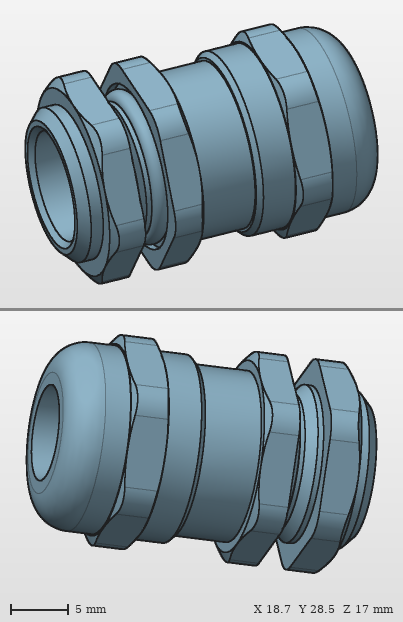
import cadquery as cq
import math

length = 28.5
across_flats = 17.0
across_corners = 18.7

thread_diameter = 14.0
groove_diameter = 12.2
thread_lead_in = 0.95
thread_end = 5.65
groove_start = 6.55
bore_mouth_diameter = 11.03
bore_diameter = 10.0
bore_depth = 5.53

ring_start = 7.05
ring_section_radius = 0.83
ring_recess_diameter = 15.0
ring_recess_floor = ring_start + 2 * ring_section_radius

body_diameter = 15.2
body_end = 16.22
cap_diameter = 16.7
cap_lead_in = 0.48
dome_radius = 3.0
cable_opening_diameter = 8.5
cable_opening_depth = dome_radius

lock_nut_start, lock_nut_end = 2.08, 5.13
body_hex_start, body_hex_end = 7.98, 11.0
cap_hex_start, cap_hex_end = 19.72, 23.2
lock_nut_corner_drop = 0.57
body_hex_corner_drop = 0.48
cap_hex_corner_drop = 0.35


def make_core():
    """Revolve the half profile, drawn as (radius, Y), about the Y axis."""
    thread_radius = thread_diameter / 2
    groove_radius = groove_diameter / 2
    body_radius = body_diameter / 2
    cap_radius = cap_diameter / 2
    dome_start = length - dome_radius
    diagonal = math.sqrt(0.5)
    dome_middle = (
        cap_radius - dome_radius * (1 - diagonal),
        dome_start + dome_radius * diagonal,
    )
    ring_centre_radius = thread_radius - ring_section_radius
    return (
        cq.Workplane("XY")
        .lineTo(thread_radius - thread_lead_in, 0)
        .lineTo(thread_radius, thread_lead_in)
        .lineTo(thread_radius, thread_end)
        .lineTo(groove_radius, groove_start)
        .lineTo(groove_radius, ring_start)
        .lineTo(ring_centre_radius, ring_start)
        .threePointArc(
            (thread_radius, ring_start + ring_section_radius),
            (ring_centre_radius, ring_recess_floor),
        )
        .lineTo(body_radius, ring_recess_floor)
        .lineTo(body_radius, body_end)
        .lineTo(cap_radius - cap_lead_in, body_end)
        .lineTo(cap_radius, body_end + cap_lead_in)
        .lineTo(cap_radius, dome_start)
        .threePointArc(dome_middle, (cap_radius - dome_radius, length))
        .lineTo(0, length)
        .close()
        .revolve(360, (0, 0), (0, 1))
    )


def make_hexagon(start, end, start_drop=0, end_drop=0):
    """Hexagon with rounded corners; each drop is how far a corner falls back from that face."""
    sharp_corners = across_flats / math.cos(math.pi / 6)
    corner_radius = (sharp_corners - across_corners) / 2 / (1 / math.cos(math.pi / 6) - 1)
    prism = (
        cq.Workplane("XZ", origin=(0, end, 0))
        .polygon(6, sharp_corners)
        .extrude(end - start)
        .edges("|Y")
        .fillet(corner_radius)
    )
    face_radius = across_flats / 2
    corner_reach = across_corners / 2
    envelope = (
        cq.Workplane("XY")
        .polyline([
            (0, start),
            (face_radius, start),
            (corner_reach, start + start_drop),
            (corner_reach, end - end_drop),
            (face_radius, end),
            (0, end),
        ])
        .close()
        .revolve(360, (0, 0), (0, 1))
    )
    return prism.intersect(envelope)


def make_body_hexagon():
    """Hexagon on the body, with a round recess for the sealing ring."""
    recess = (
        cq.Workplane("XZ", origin=(0, ring_recess_floor, 0))
        .circle(ring_recess_diameter / 2)
        .extrude(ring_recess_floor - body_hex_start)
    )
    return make_hexagon(body_hex_start, body_hex_end, end_drop=body_hex_corner_drop).cut(recess)


def make_bore():
    """Blind bore with a 45 degree countersunk mouth."""
    bore_radius = bore_diameter / 2
    mouth_radius = bore_mouth_diameter / 2
    return (
        cq.Workplane("XY")
        .polyline([
            (0, 0),
            (mouth_radius, 0),
            (bore_radius, mouth_radius - bore_radius),
            (bore_radius, bore_depth),
            (0, bore_depth),
        ])
        .close()
        .revolve(360, (0, 0), (0, 1))
    )


def make_cable_opening():
    """Round recess in the domed end."""
    return (
        cq.Workplane("XZ", origin=(0, length, 0))
        .circle(cable_opening_diameter / 2)
        .extrude(cable_opening_depth)
    )


result = (
    make_core()
    .union(make_hexagon(lock_nut_start, lock_nut_end, start_drop=lock_nut_corner_drop))
    .union(make_body_hexagon())
    .union(make_hexagon(cap_hex_start, cap_hex_end, cap_hex_corner_drop, cap_hex_corner_drop))
    .cut(make_bore())
    .cut(make_cable_opening())
    .translate((0, -length / 2, 0))
)